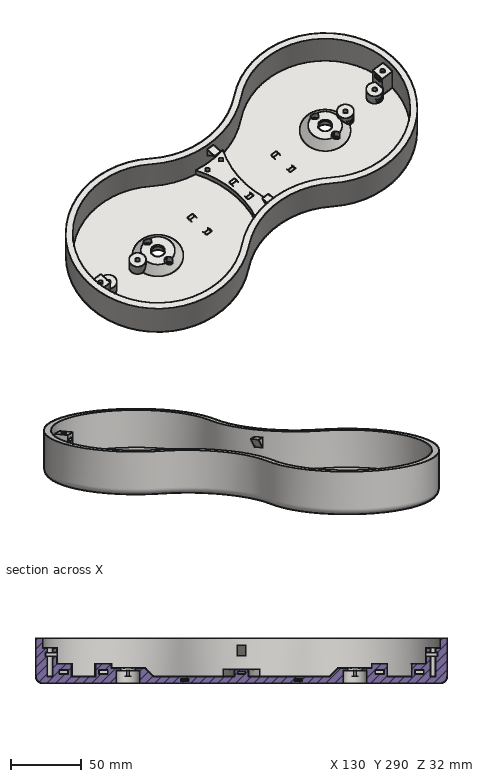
import cadquery as cq
import math

HEIGHT = 32.0
END_RADIUS = 65.0
END_OFFSET = 80.0
FLANK_RADIUS = 65.0
WALL = 5.0
FLOOR = 5.0
BOTTOM_FILLET = 5.0

BRIDGE_TOP = 10.0
BRIDGE_ARC_RADIUS = 75.0
BRIDGE_HOLE_X = 28.4
BRIDGE_HOLE_Y = 6.5

SCREW_DIAMETER = 3.4
NUT_WIDTH = 5.9
NUT_SLOT_HEIGHT = 2.6

REST_TOP = 27.0
REST_WIDTH = 6.0
REST_TIP_X = 24.8
REST_DROP = 10.0

HUB_BASE_DIAMETER = 36.0
HUB_TOP_DIAMETER = 24.0
HUB_TOP = 11.0
SHAFT_DIAMETER = 10.0
HUB_POCKET_DIAMETER = 16.4
HUB_LIP = 2.0
HUB_SCREW_OFFSET = 11.0
HUB_SCREW_HEAD_DIAMETER = 5.9
HUB_SCREW_SEAT = 5.0

POST_DIAMETER = 12.0
POST_TOP = 14.0
POST_X = 2.3
POST_YS = (97.3, 125.3)
POST_NUT_Z = 8.0

BLOCK_WIDTH = 10.0
BLOCK_TOP = 25.0
BLOCK_FACE_Y = 130.0
BLOCK_HOLE_Y = 135.0
BLOCK_NUT_Z = 20.5

TIE_OUTER_X = 10.1
TIE_INNER_X = 7.5
TIE_WIDTH = 5.0
TIE_CENTRE_RISE = 14.0
TIE_YS = (-40.0, 0.0, 40.0)

CENTRE_DISTANCE = END_RADIUS + FLANK_RADIUS
FLANK_CENTRE_X = math.sqrt(CENTRE_DISTANCE**2 - END_OFFSET**2)


def outline(inset):
    """Closed figure-eight outline, moved inwards by `inset`."""
    end_radius = END_RADIUS - inset
    waist_x = FLANK_CENTRE_X - FLANK_RADIUS - inset
    join_x = end_radius * FLANK_CENTRE_X / CENTRE_DISTANCE
    join_y = END_OFFSET - end_radius * END_OFFSET / CENTRE_DISTANCE
    tip_y = END_OFFSET + end_radius
    return (
        cq.Workplane("XY")
        .moveTo(join_x, join_y)
        .threePointArc((0, tip_y), (-join_x, join_y))
        .threePointArc((-waist_x, 0), (-join_x, -join_y))
        .threePointArc((0, -tip_y), (join_x, -join_y))
        .threePointArc((waist_x, 0), (join_x, join_y))
        .close()
    )


def cylinder(diameter, x, y, bottom, top):
    return (
        cq.Workplane("XY", origin=(x, y, bottom))
        .circle(diameter / 2)
        .extrude(top - bottom)
    )


def box(x_range, y_range, z_range):
    sizes = [high - low for low, high in (x_range, y_range, z_range)]
    corner = (x_range[0], y_range[0], z_range[0])
    return cq.Workplane("XY", origin=corner).box(*sizes, centered=False)


def both_ends(shape):
    """The shape and its copy turned half a turn about Z."""
    return shape.union(shape.rotate((0, 0, 0), (0, 0, 1), 180))


def make_shell():
    body = outline(0).extrude(HEIGHT).faces("<Z").edges().fillet(BOTTOM_FILLET)
    return body.cut(outline(WALL).extrude(HEIGHT).translate((0, 0, FLOOR)))


def make_bridge():
    """Raised pad across the waist, hollowed on both sides by arcs about the end centres."""
    bridge = outline(WALL / 2).extrude(BRIDGE_TOP - FLOOR).translate((0, 0, FLOOR))
    for end_y in (-END_OFFSET, END_OFFSET):
        bridge = bridge.cut(cylinder(2 * BRIDGE_ARC_RADIUS, 0, end_y, FLOOR, BRIDGE_TOP))
    return bridge


def make_rest():
    """Wedge on the +X waist wall, flat on top and tapering down to the wall."""
    root_x = FLANK_CENTRE_X - FLANK_RADIUS - WALL / 2
    return (
        cq.Workplane("XZ", origin=(0, REST_WIDTH / 2, 0))
        .moveTo(REST_TIP_X, REST_TOP)
        .lineTo(root_x, REST_TOP)
        .lineTo(root_x, REST_TOP - REST_DROP)
        .close()
        .extrude(REST_WIDTH)
    )


def make_hub():
    base = cq.Vector(0, END_OFFSET, FLOOR)
    hub = cq.Solid.makeCone(HUB_BASE_DIAMETER / 2, HUB_TOP_DIAMETER / 2, HUB_TOP - FLOOR, pnt=base)
    return cq.Workplane(hub)


def make_hub_holes():
    """Shaft hole with a recess below it, and two counterbored screw holes."""
    holes = cylinder(SHAFT_DIAMETER, 0, END_OFFSET, 0, HUB_TOP)
    holes = holes.union(cylinder(HUB_POCKET_DIAMETER, 0, END_OFFSET, 0, HUB_TOP - HUB_LIP))
    for x in (-HUB_SCREW_OFFSET, HUB_SCREW_OFFSET):
        holes = holes.union(cylinder(SCREW_DIAMETER, x, END_OFFSET, 0, HUB_TOP))
        holes = holes.union(cylinder(HUB_SCREW_HEAD_DIAMETER, x, END_OFFSET, HUB_SCREW_SEAT, HUB_TOP))
    return holes


def make_post(y):
    return cylinder(POST_DIAMETER, POST_X, y, FLOOR, POST_TOP)


def make_post_cuts(y):
    """Screw hole from the top and a nut slot open towards +X."""
    slot = box(
        (POST_X - NUT_WIDTH / 2, POST_X + POST_DIAMETER / 2),
        (y - NUT_WIDTH / 2, y + NUT_WIDTH / 2),
        (POST_NUT_Z - NUT_SLOT_HEIGHT / 2, POST_NUT_Z + NUT_SLOT_HEIGHT / 2),
    )
    return cylinder(SCREW_DIAMETER, POST_X, y, FLOOR, POST_TOP).union(slot)


def make_block():
    """Screw block with a hole from the top and a nut slot open towards the middle."""
    wall_y = END_OFFSET + END_RADIUS - WALL / 2
    half_nut = NUT_WIDTH / 2
    block = box(
        (-BLOCK_WIDTH / 2, BLOCK_WIDTH / 2),
        (BLOCK_FACE_Y, wall_y),
        (FLOOR, BLOCK_TOP),
    )
    block = block.cut(cylinder(SCREW_DIAMETER, 0, BLOCK_HOLE_Y, FLOOR, BLOCK_TOP))
    slot = box(
        (-half_nut, half_nut),
        (BLOCK_FACE_Y, BLOCK_HOLE_Y + half_nut),
        (BLOCK_NUT_Z - NUT_SLOT_HEIGHT / 2, BLOCK_NUT_Z + NUT_SLOT_HEIGHT / 2),
    )
    return block.cut(slot)


def make_tie_channel(y, surface_z):
    """Arc-shaped passage that dips below the surface between its two openings."""
    ring = (
        cq.Workplane("XZ", origin=(0, y + TIE_WIDTH / 2, surface_z + TIE_CENTRE_RISE))
        .circle(math.hypot(TIE_OUTER_X, TIE_CENTRE_RISE))
        .circle(math.hypot(TIE_INNER_X, TIE_CENTRE_RISE))
        .extrude(TIE_WIDTH)
    )
    below_surface = box(
        (-TIE_OUTER_X, TIE_OUTER_X),
        (y - TIE_WIDTH / 2, y + TIE_WIDTH / 2),
        (0, surface_z),
    )
    return ring.intersect(below_surface)


result = make_shell().union(make_bridge()).union(both_ends(make_rest()))
result = result.union(both_ends(make_hub())).union(both_ends(make_block()))
for post_y in POST_YS:
    result = result.union(both_ends(make_post(post_y)))
for post_y in POST_YS:
    result = result.cut(both_ends(make_post_cuts(post_y)))
result = result.cut(both_ends(make_hub_holes()))
for bridge_x in (-BRIDGE_HOLE_X, BRIDGE_HOLE_X):
    for bridge_y in (-BRIDGE_HOLE_Y, BRIDGE_HOLE_Y):
        result = result.cut(cylinder(SCREW_DIAMETER, bridge_x, bridge_y, 0, BRIDGE_TOP))
for tie_y in TIE_YS:
    tie_surface = BRIDGE_TOP if tie_y == 0 else FLOOR
    result = result.cut(make_tie_channel(tie_y, tie_surface))